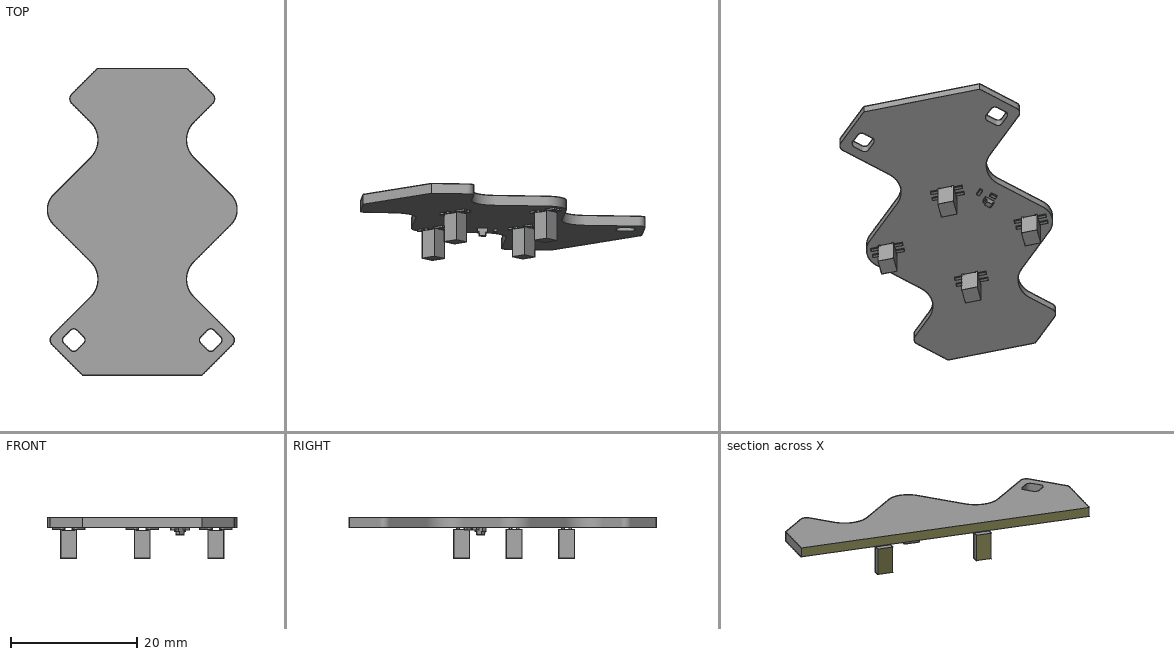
import cadquery as cq
import math

board_length = 48.65
board_width = 30.1
board_thickness = 1.6
board_underside = -board_thickness
front_edge_y = -board_length / 2
back_edge_y = board_length / 2

neck_corner_x = 5.4
waist_y = 1.95
neck_offset_y = 11.05
front_lobe_y = -18.7
back_lobe_y = 19.5
neck_radius = 3.95
end_lobe_radius = 1.0

front_neck_y = waist_y - neck_offset_y
back_neck_y = waist_y + neck_offset_y
waist_corner_x = neck_corner_x + neck_offset_y
front_corner_x = neck_corner_x + front_neck_y - front_lobe_y
back_corner_x = neck_corner_x + back_lobe_y - back_neck_y
front_edge_half = front_corner_x - (front_lobe_y - front_edge_y)
back_edge_half = back_corner_x - (back_edge_y - back_lobe_y)
waist_radius = (waist_corner_x - board_width / 2) / (math.sqrt(2) - 1)

hole_x = 10.85
hole_side = 2.9
hole_corner_radius = 0.75

post_width = 2.55
post_bottom = -6.45
lead_thickness = 0.3
lead_width = 0.45
lead_offset_y = 0.6
lead_inner_x = 0.6
lead_outer_x = 2.6
channel_width = 1.9
channel_depth = 0.15
post_x_offset = 11.65
post_y_offset = 8.3
post_middle_y = 1.8
post_centers = [
    (-post_x_offset, post_middle_y),
    (post_x_offset, post_middle_y),
    (0, post_middle_y - post_y_offset),
    (0, post_middle_y + post_y_offset),
]

component_turn = 45
led_center = (6.0, -3.5)
led_length = 1.6
led_width = 0.85
led_base_height = 0.6
lens_length = 1.1
lens_width = 0.85
lens_height = 0.6
lens_taper = 5

chip_length = 1.0
chip_width = 0.5
chip_height = 0.4
chip_places = [
    ((5.0, -5.5), -component_turn),
    ((6.95, -4.35), component_turn),
]


def hanging_box(length, width, height, center, top_z, turn=0):
    """Box that hangs down from top_z, turned about its own vertical axis."""
    box = cq.Workplane("XY").box(length, width, height, centered=(True, True, False))
    return box.rotate((0, 0, 0), (0, 0, 1), turn).translate((*center, top_z - height))


def corner_selector(half_width, y):
    """Selects the two mirrored vertical edges at (+-half_width, y)."""
    reach = 0.25
    left, right = [
        cq.selectors.BoxSelector(
            (x - reach, y - reach, -board_thickness), (x + reach, y + reach, board_thickness)
        )
        for x in (-half_width, half_width)
    ]
    return left + right


def make_board():
    right_side = [
        (front_edge_half, front_edge_y),
        (front_corner_x, front_lobe_y),
        (neck_corner_x, front_neck_y),
        (waist_corner_x, waist_y),
        (neck_corner_x, back_neck_y),
        (back_corner_x, back_lobe_y),
        (back_edge_half, back_edge_y),
    ]
    left_side = [(-x, y) for x, y in reversed(right_side)]
    board = cq.Workplane("XY").polyline(right_side + left_side).close().extrude(-board_thickness)

    rounded_corners = [
        (front_corner_x, front_lobe_y, end_lobe_radius),
        (neck_corner_x, front_neck_y, neck_radius),
        (waist_corner_x, waist_y, waist_radius),
        (neck_corner_x, back_neck_y, neck_radius),
        (back_corner_x, back_lobe_y, end_lobe_radius),
    ]
    for x, y, radius in rounded_corners:
        board = board.edges(corner_selector(x, y)).fillet(radius)

    for x in (-hole_x, hole_x):
        hole = hanging_box(hole_side, hole_side, board_thickness, (x, front_lobe_y), 0, component_turn)
        board = board.cut(hole.edges("|Z").fillet(hole_corner_radius))
    return board


def make_post(center):
    post_top = board_underside - lead_thickness
    post = hanging_box(post_width, post_width, post_top - post_bottom, (0, 0), post_top)
    post = post.cut(hanging_box(channel_width, post_width, channel_depth, (0, 0), post_top))
    lead_length = lead_outer_x - lead_inner_x
    lead_center_x = (lead_outer_x + lead_inner_x) / 2
    for x in (-lead_center_x, lead_center_x):
        for y in (-lead_offset_y, lead_offset_y):
            lead = hanging_box(lead_length, lead_width, lead_thickness, (x, y), board_underside)
            post = post.union(lead)
    return post.translate((*center, 0))


def make_led():
    """Flat base with a shorter, slightly tapered lens below it."""
    led = cq.Workplane("XY").rect(led_length, led_width).extrude(-led_base_height)
    led = led.faces("<Z").workplane().rect(lens_length, lens_width)
    led = led.extrude(lens_height, taper=lens_taper)
    led = led.rotate((0, 0, 0), (0, 0, 1), component_turn)
    return led.translate((*led_center, board_underside))


def make_chip(center, turn):
    return hanging_box(chip_length, chip_width, chip_height, center, board_underside, turn)


board = make_board()
posts = [make_post(center) for center in post_centers]
led = make_led()
chips = [make_chip(center, turn) for center, turn in chip_places]

result = cq.Compound.makeCompound([
    board.val(),
    *[post.val() for post in posts],
    led.val(),
    *[chip.val() for chip in chips],
])